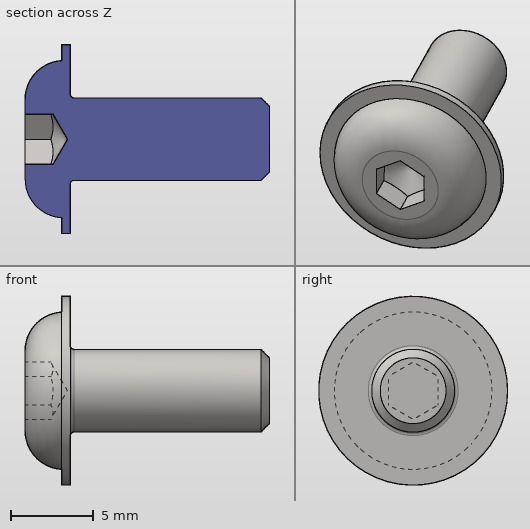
import cadquery as cq
import math

total_length = 14.75
flange_radius = 11.4 / 2
flange_thickness = 0.53
dome_height = 2.21
dome_radius = 4.75
face_radius = 2.39
dome_arc_radius = 2.36
shank_radius = 5.0 / 2
end_chamfer = 0.52
neck_fillet = 0.2
socket_width = 3.0
socket_depth = 1.56
socket_tip_angle = 120.0

head_height = dome_height + flange_thickness

dome_width = dome_radius - face_radius
dome_chord = math.hypot(dome_height, dome_width)
dome_bulge = dome_arc_radius - math.sqrt(dome_arc_radius**2 - (dome_chord / 2) ** 2)
dome_midpoint = (
    dome_height / 2 - dome_bulge * dome_width / dome_chord,
    (face_radius + dome_radius) / 2 + dome_bulge * dome_height / dome_chord,
)

fillet_offset = neck_fillet * (1 - math.sqrt(0.5))


def make_body():
    """Revolve the half profile (X along the axis, Y as radius)."""
    return (
        cq.Workplane("XY")
        .lineTo(0, face_radius)
        .threePointArc(dome_midpoint, (dome_height, dome_radius))
        .lineTo(dome_height, flange_radius)
        .lineTo(head_height, flange_radius)
        .lineTo(head_height, shank_radius + neck_fillet)
        .threePointArc(
            (head_height + fillet_offset, shank_radius + fillet_offset),
            (head_height + neck_fillet, shank_radius),
        )
        .lineTo(total_length - end_chamfer, shank_radius)
        .lineTo(total_length, shank_radius - end_chamfer)
        .lineTo(total_length, 0)
        .close()
        .revolve(360, (0, 0, 0), (1, 0, 0))
    )


def make_socket():
    """Hexagonal recess with corners on the Z axis and a conical bottom."""
    corner_radius = socket_width / math.sqrt(3)
    tip_depth = corner_radius / math.tan(math.radians(socket_tip_angle / 2))
    hexagon = (
        cq.Workplane("YZ")
        .transformed(rotate=(0, 0, 90))
        .polygon(6, 2 * corner_radius)
        .extrude(socket_depth + tip_depth)
    )
    pointed_bore = (
        cq.Workplane("XY")
        .lineTo(0, corner_radius)
        .lineTo(socket_depth, corner_radius)
        .lineTo(socket_depth + tip_depth, 0)
        .close()
        .revolve(360, (0, 0, 0), (1, 0, 0))
    )
    return hexagon.intersect(pointed_bore)


result = make_body().cut(make_socket())